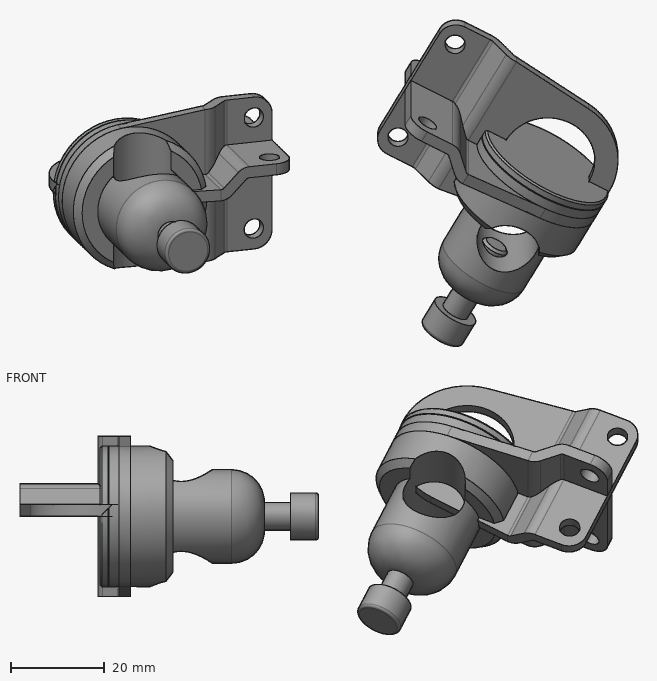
import cadquery as cq
import math

plate_thickness = 2.5
plate_half_width = 17.1
plate_end_y = 33.6
plate_nose_radius = 15.0
plate_bore_diameter = 20.1
plate_corner_radius = 4.0
mount_hole_diameter = 4.3
mount_hole_pitch = 25.0
mount_hole_y = 29.5

joggle_rise = 4.5
joggle_start_y = 17.1
joggle_angle = math.radians(45.0)
bend_inner_radius = 1.0
bend_outer_radius = bend_inner_radius + plate_thickness

lock_flange_diameter = 30.0
lock_neck_diameter = 20.0
lock_face_chamfer = 0.4
lock_back_chamfer = 1.5
lock_flange_end_x = 15.5
lock_end_x = 35.0
lock_end_radius = 7.0
thin_groove_x = 1.7
thin_groove_width = 0.2
thin_groove_diameter = 21.0
plate_groove_x = 4.0
plate_groove_end_x = plate_groove_x + plate_thickness
cross_hole_x = 17.25
cross_hole_diameter = 13.3

screw_tip_x = 22.5
screw_diameter = 6.0
screw_tip_chamfer = 0.6
screw_head_x = 40.5
screw_head_diameter = 10.0
screw_head_length = 6.0
screw_head_fillet = 0.6


def cylinder_x(diameter, start_x, end_x):
    """Cylinder on the X axis between two X positions."""
    return cq.Workplane("YZ").workplane(offset=start_x).circle(diameter / 2).extrude(end_x - start_x)


def plate_outline():
    """Flat outline: square end, sides tapering tangentially into a round nose."""
    vertex_distance = math.hypot(plate_half_width, joggle_start_y)
    vertex_angle = math.atan2(joggle_start_y, plate_half_width)
    tangent_angle = vertex_angle - math.acos(plate_nose_radius / vertex_distance)
    tangent_x = plate_nose_radius * math.cos(tangent_angle)
    tangent_y = plate_nose_radius * math.sin(tangent_angle)
    outline = (
        cq.Workplane("XY")
        .moveTo(plate_half_width, plate_end_y)
        .lineTo(plate_half_width, joggle_start_y)
        .lineTo(tangent_x, tangent_y)
        .threePointArc((0, -plate_nose_radius), (-tangent_x, tangent_y))
        .lineTo(-plate_half_width, joggle_start_y)
        .lineTo(-plate_half_width, plate_end_y)
        .close()
        .extrude(joggle_rise + plate_thickness)
    )
    return outline.edges("|Z and >Y").fillet(plate_corner_radius)


def plate_section():
    """Joggled strip in the YZ plane, extruded over the plate width."""
    bend_sin = math.sin(joggle_angle)
    bend_cos = math.cos(joggle_angle)
    half_sin = math.sin(joggle_angle / 2)
    half_cos = math.cos(joggle_angle / 2)
    bend_radii = bend_inner_radius + bend_outer_radius
    slope_rise = joggle_rise - bend_radii * (1 - bend_cos)
    joggle_end_y = joggle_start_y + bend_radii * bend_sin + slope_rise / math.tan(joggle_angle)
    tab_top_z = joggle_rise + plate_thickness
    lower_centre_z = plate_thickness + bend_inner_radius
    upper_centre_z = joggle_rise - bend_inner_radius

    def lower_bend(radius, sine, cosine):
        return (joggle_start_y + radius * sine, lower_centre_z - radius * cosine)

    def upper_bend(radius, sine, cosine):
        return (joggle_end_y - radius * sine, upper_centre_z + radius * cosine)

    return (
        cq.Workplane("YZ")
        .workplane(offset=-plate_half_width)
        .moveTo(-plate_nose_radius, 0)
        .lineTo(joggle_start_y, 0)
        .threePointArc(
            lower_bend(bend_outer_radius, half_sin, half_cos),
            lower_bend(bend_outer_radius, bend_sin, bend_cos),
        )
        .lineTo(*upper_bend(bend_inner_radius, bend_sin, bend_cos))
        .threePointArc(upper_bend(bend_inner_radius, half_sin, half_cos), (joggle_end_y, joggle_rise))
        .lineTo(plate_end_y, joggle_rise)
        .lineTo(plate_end_y, tab_top_z)
        .lineTo(joggle_end_y, tab_top_z)
        .threePointArc(
            upper_bend(bend_outer_radius, half_sin, half_cos),
            upper_bend(bend_outer_radius, bend_sin, bend_cos),
        )
        .lineTo(*lower_bend(bend_inner_radius, bend_sin, bend_cos))
        .threePointArc(
            lower_bend(bend_inner_radius, half_sin, half_cos),
            (joggle_start_y, plate_thickness),
        )
        .lineTo(-plate_nose_radius, plate_thickness)
        .close()
        .extrude(2 * plate_half_width)
    )


def make_plate():
    """One complete plate lying flat, before it is notched for its neighbour."""
    holes = (
        cq.Workplane("XY")
        .circle(plate_bore_diameter / 2)
        .pushPoints([(side * mount_hole_pitch / 2, mount_hole_y) for side in (-1, 1)])
        .circle(mount_hole_diameter / 2)
        .extrude(joggle_rise + plate_thickness)
    )
    return plate_section().intersect(plate_outline()).cut(holes)


def make_lock():
    """Flanged lock body with a rounded neck, a cross hole and a screw hole."""
    flange = (
        cylinder_x(lock_flange_diameter, 0, lock_flange_end_x)
        .faces("<X").chamfer(lock_face_chamfer)
        .faces(">X").chamfer(lock_back_chamfer)
    )
    neck = cylinder_x(lock_neck_diameter, 0, lock_end_x).faces(">X").edges().fillet(lock_end_radius)
    grooves = [
        (thin_groove_x, thin_groove_x + thin_groove_width, thin_groove_diameter),
        (plate_groove_x, plate_groove_end_x, lock_neck_diameter),
    ]
    for start_x, end_x, core_diameter in grooves:
        ring = cylinder_x(2 * lock_flange_diameter, start_x, end_x)
        ring = ring.cut(cylinder_x(core_diameter, start_x, end_x))
        flange = flange.cut(ring)
    cross_hole = (
        cq.Workplane("XY")
        .center(cross_hole_x, 0)
        .circle(cross_hole_diameter / 2)
        .extrude(lock_flange_diameter / 2, both=True)
    )
    screw_hole = cylinder_x(screw_diameter, cross_hole_x, lock_end_x)
    return flange.union(neck).cut(cross_hole).cut(screw_hole)


def make_screw():
    """Screw with a chamfered tip and a cylindrical head."""
    shank = cylinder_x(screw_diameter, screw_tip_x, screw_head_x).faces("<X").chamfer(screw_tip_chamfer)
    head = cylinder_x(screw_head_diameter, screw_head_x, screw_head_x + screw_head_length)
    return shank.union(head.faces(">X").edges().fillet(screw_head_fillet))


flat_blank = make_plate()
upright_blank = (
    make_plate()
    .rotate((0, 0, 0), (0, 1, 0), -90)
    .translate((plate_groove_end_x, 0, 0))
)

shared = flat_blank.intersect(upright_blank)
nose_side = cq.Workplane("XY").box(
    4 * plate_half_width, plate_end_y, 4 * plate_half_width
).translate((0, -plate_end_y / 2, 0))
flat_plate = flat_blank.cut(shared.intersect(nose_side))
upright_plate = upright_blank.cut(shared.cut(nose_side))

lock = make_lock().cut(flat_blank)
screw = make_screw()

result = cq.Compound.makeCompound([
    flat_plate.val(),
    upright_plate.val(),
    lock.val(),
    screw.val(),
])